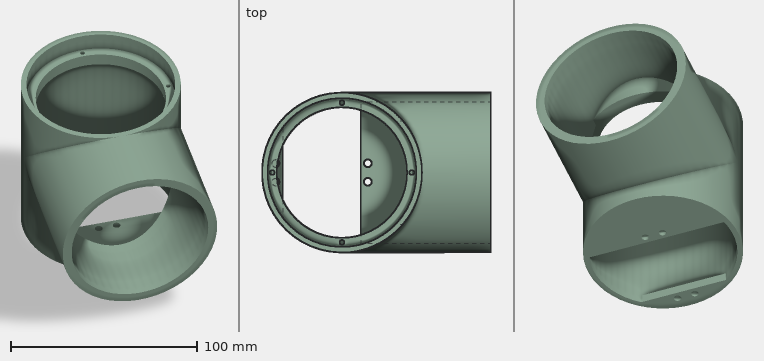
import cadquery as cq

outer_diameter = 86.0
outer_radius = outer_diameter / 2
height = 96.0
total_length = 123.0
branch_length = total_length - outer_radius
branch_axis_height = height - outer_radius
vertical_bore_diameter = 80.0
branch_bore_diameter = 76.0

seat_depth = 10.0
ring_bore_diameter = 70.0
ring_thickness = 7.0
seat_height = height - seat_depth
ring_bottom = seat_height - ring_thickness

ring_hole_diameter = 2.6
ring_hole_depth = 5.0
ring_hole_circle_diameter = (vertical_bore_diameter + ring_bore_diameter) / 2
ring_hole_count = 4

plate_thickness = 5.0
left_plate_edge = -31.7
right_plate_edge = 10.0
plate_gap = right_plate_edge - left_plate_edge
plate_hole_diameter = 4.0
plate_hole_inset = 3.9
plate_hole_spacing = 10.0


def vertical_cylinder(diameter, bottom, top):
    return cq.Workplane("XY").workplane(offset=bottom).circle(diameter / 2).extrude(top - bottom)


def branch_cylinder(diameter):
    return (
        cq.Workplane("YZ")
        .center(0, branch_axis_height)
        .circle(diameter / 2)
        .extrude(branch_length)
    )


def vertical_cavity():
    """Bore above and below the ring, narrowed at the bottom to the gap between the plates."""
    gap = (
        cq.Workplane("XY")
        .box(plate_gap, outer_diameter, plate_thickness, centered=(False, True, False))
        .translate((left_plate_edge, 0, 0))
        .intersect(vertical_cylinder(vertical_bore_diameter, 0, plate_thickness))
    )
    lower_bore = vertical_cylinder(vertical_bore_diameter, plate_thickness, ring_bottom)
    ring_bore = vertical_cylinder(ring_bore_diameter, ring_bottom, seat_height)
    seat = vertical_cylinder(vertical_bore_diameter, seat_height, height)
    return gap.union(lower_bore).union(ring_bore).union(seat)


def branch_cavity():
    """Branch bore that leaves the ring and the tube wall above it whole."""
    collar = vertical_cylinder(outer_diameter, ring_bottom, height)
    return branch_cylinder(branch_bore_diameter).cut(collar)


def ring_holes():
    return (
        cq.Workplane("XY")
        .workplane(offset=seat_height)
        .polarArray(ring_hole_circle_diameter / 2, 0, 360, ring_hole_count)
        .circle(ring_hole_diameter / 2)
        .extrude(-ring_hole_depth)
    )


def plate_holes():
    """A pair of through holes near the free edge of each plate."""
    centers = [
        (x, side * plate_hole_spacing / 2)
        for x in (left_plate_edge - plate_hole_inset, right_plate_edge + plate_hole_inset)
        for side in (-1, 1)
    ]
    return cq.Workplane("XY").pushPoints(centers).circle(plate_hole_diameter / 2).extrude(plate_thickness)


body = vertical_cylinder(outer_diameter, 0, height).union(branch_cylinder(outer_diameter))
result = (
    body.cut(vertical_cavity())
    .cut(branch_cavity())
    .cut(ring_holes())
    .cut(plate_holes())
)